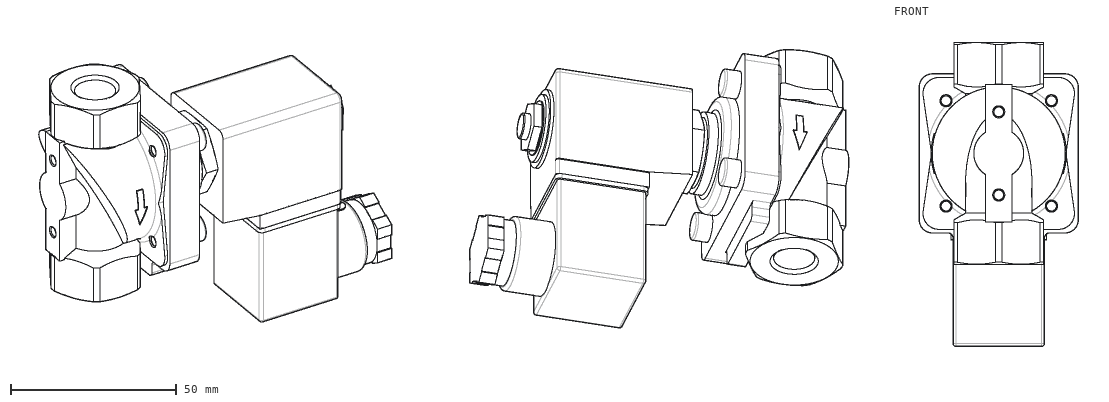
import cadquery as cq
import math


pipe_half_length = 33.5
pipe_hex_flats = 27.0
pipe_hex_radius = 15.0
pipe_face_radius = 13.3
pipe_end_chamfer = 0.7
neck_radius = 10.0
neck_half_length = 18.0
neck_cone_angle = 30
bore_diameter = 12.4
bore_mouth_diameter = 14.6
bore_depth = 12.5

body_radius = 20.0
front_y = -pipe_hex_radius
slant_top_y = -13.9
slant_bottom_y = 5.3
arrow_relief = 0.3
arrow_y = 3.9
arrow_stem_width = 2.2
arrow_head_width = 4.3
arrow_half_length = 6.0

bar_width = 8.0
bar_half_length = 20.7
boss_diameter = 15.0
bar_hole_spacing = 25.0
bar_hole_depth = 4.5
small_hole_diameter = 3.0
small_hole_chamfer = 0.3
drill_tip_angle = 118

flange_size = 48.0
flange_y = 11.6
flange_back_y = 22.2
flange_corner_radius = 4.1
pad_y = 10.6
pad_half_height = 22.9
pad_waist_half_width = 20.3
pad_corner_half_width = 23.5
pad_corner_radius = 4.8
body_fillet = 1.5
screw_spacing = 31.8
screw_head_diameter = 8.5
screw_head_height = 5.0
screw_head_fillet = 0.6
screw_hole_depth = 0.5

tab_half_width = 13.8
tab_back_y = 17.2
tab_bottom_z = -29.7
tab_fillet = 1.5

cover_radius = 18.0
cover_back_y = 26.6
cover_fillet = 1.8
collar_radius = 12.5
collar_front_y = 27.3
collar_back_y = 30.3
collar_foot_radius = 13.7
tube_neck_radius = 10.8
tube_hex_y = 31.3
tube_hex_flats = 22.1
tube_hex_chamfer = 0.3

coil_front_y = 36.1
coil_back_y = 78.6
coil_half_width = 14.9
coil_top_z = 13.7
coil_bottom_z = -19.3
coil_front_bottom_z = -17.9
coil_edge_fillet = 2.2
rear_edge_fillet = 1.0
block_front_y = 49.5
block_half_width = 14.5
block_bottom_z = -24.5
outer_washer_radius = 12.0
inner_washer_radius = 10.4
nut_washer_radius = 8.3
outer_washer_back_y = 79.7
inner_washer_back_y = 80.7
nut_washer_back_y = 81.0
nut_corner_radius = 8.1
nut_back_y = 83.5
stud_diameter = 8.0
stud_back_y = 85.8
stud_chamfer = 0.3

rim_bottom_z = -26.1
rim_corner_fillet = 1.7
plug_inset = 0.7
plug_fillet = 0.9
plug_bottom_z = -58.2
gland_radius = 11.4
gland_z = -46.3
gland_back_y = 89.9
gland_fillet = 1.0
gland_neck_radius = 10.0
cap_front_y = 93.8
cap_back_y = 98.8
cap_corner_radius = 11.8
grip_depth = 0.5
grip_share = 0.4
button_diameter = 5.0
button_y = 85.8
button_rise = 0.1


def box(x_half, y_range, z_range):
    """A box symmetric about X = 0."""
    y_min, y_max = y_range
    z_min, z_max = z_range
    return cq.Workplane("XY").box(
        2 * x_half, y_max - y_min, z_max - z_min, centered=(True, False, False)
    ).translate((0, y_min, z_min))


def plane_at_y(y, x=0, z=0):
    """A sketch plane facing -Y, with X to the right and Z up."""
    return cq.Workplane("XZ", origin=(x, y, z))


def cylinder_y(radius, y_min, y_max, x=0, z=0):
    return plane_at_y(y_min, x, z).circle(radius).extrude(y_min - y_max)


def turned_y(profile):
    """Turn a closed (radius, y) profile about the Y axis."""
    return cq.Workplane("XY").polyline(profile).close().revolve(360, (0, 0), (0, 1))


def turned_z(profile):
    """Turn a closed (radius, z) profile about the Z axis."""
    return cq.Workplane("XZ").polyline(profile).close().revolve(360, (0, 0), (0, 1))


def corner_places(spacing):
    half = spacing / 2
    return [(x, z) for x in (-half, half) for z in (-half, half)]


def chamfered_hole(depth, y, x, z, pointed):
    """A small hole cut into +Y from the face at y, optionally with a drill point."""
    radius = small_hole_diameter / 2
    mouth_radius = radius + small_hole_chamfer
    tip = radius / math.tan(math.radians(drill_tip_angle / 2)) if pointed else 0
    hole = turned_y([
        (0, 0),
        (mouth_radius, 0),
        (radius, small_hole_chamfer),
        (radius, depth),
        (0, depth + tip),
    ])
    approach = cylinder_y(mouth_radius, -body_fillet, 0)
    return hole.union(approach).translate((x, y, z))


def pipe_end():
    """The upper hexagonal pipe end with its neck, reaching down to Z = 0."""
    cone_height = (pipe_hex_radius - neck_radius) * math.tan(math.radians(neck_cone_angle))
    cone_top = neck_half_length + cone_height
    turned = turned_z([
        (0, neck_half_length),
        (neck_radius, neck_half_length),
        (pipe_hex_radius, cone_top),
        (pipe_hex_radius, pipe_half_length - pipe_end_chamfer),
        (pipe_face_radius, pipe_half_length),
        (0, pipe_half_length),
    ])
    hexagon = (
        cq.Workplane("XY")
        .polygon(6, pipe_hex_flats / math.cos(math.pi / 6))
        .extrude(pipe_half_length)
        .rotate((0, 0, 0), (0, 0, 1), 30)
    )
    neck = cq.Workplane("XY").circle(neck_radius).extrude(neck_half_length)
    return turned.intersect(hexagon).union(neck)


def bore():
    """The upper pipe bore with its chamfered mouth."""
    radius = bore_diameter / 2
    mouth_radius = bore_mouth_diameter / 2
    return turned_z([
        (0, pipe_half_length - bore_depth),
        (radius, pipe_half_length - bore_depth),
        (radius, pipe_half_length - (mouth_radius - radius)),
        (mouth_radius, pipe_half_length),
        (0, pipe_half_length),
    ])


def both_ends(upper):
    return upper.union(upper.mirror("XY"))


def slanted_body():
    """The round body, cut off at a slant on its front."""
    cylinder = cylinder_y(body_radius, front_y, flange_y)
    kept = (
        cq.Workplane("YZ")
        .polyline([
            (flange_y, body_radius),
            (slant_top_y, body_radius),
            (slant_bottom_y, -body_radius),
            (flange_y, -body_radius),
        ])
        .close()
        .extrude(body_radius, both=True)
    )
    return cylinder.intersect(kept)


def flow_arrows():
    """Raised arrows pointing down on both sides of the body."""
    stem = arrow_stem_width / 2
    head = arrow_head_width / 2
    outline = [
        (arrow_y - stem, arrow_half_length),
        (arrow_y - stem, 0),
        (arrow_y - head, 0),
        (arrow_y, -arrow_half_length),
        (arrow_y + head, 0),
        (arrow_y + stem, 0),
        (arrow_y + stem, arrow_half_length),
    ]
    reach = body_radius + arrow_relief
    prism = cq.Workplane("YZ").polyline(outline).close().extrude(reach, both=True)
    return prism.intersect(cylinder_y(reach, front_y, flange_y))


def mounting_bar():
    bar = box(bar_width / 2, (front_y, 0), (-bar_half_length, bar_half_length))
    return bar.union(cylinder_y(boss_diameter / 2, front_y, 0))


def pad_outline(y):
    return plane_at_y(y).polyline([
        (-pad_corner_half_width, pad_half_height),
        (pad_corner_half_width, pad_half_height),
        (pad_waist_half_width, 0),
        (pad_corner_half_width, -pad_half_height),
        (-pad_corner_half_width, -pad_half_height),
        (-pad_waist_half_width, 0),
    ]).close()


def flange():
    """The square flange, its waisted pad and the fillet between pad and body."""
    half = flange_size / 2
    plate = box(half, (flange_y, flange_back_y), (-half, half)).edges("|Y").fillet(flange_corner_radius)
    pad = pad_outline(pad_y).extrude(pad_y - flange_y)
    pad = pad.edges("|Y").edges(">Z or <Z").fillet(pad_corner_radius)
    inner = body_radius - body_fillet
    sweep = (
        cq.Workplane("XY")
        .moveTo(inner, pad_y)
        .lineTo(body_radius + body_fillet, pad_y)
        .radiusArc((body_radius, pad_y - body_fillet), -body_fillet)
        .lineTo(inner, pad_y - body_fillet)
        .close()
        .revolve(360, (0, 0), (0, 1))
    )
    fillet_ring = sweep.intersect(pad_outline(pad_y - body_fillet).extrude(-body_fillet))
    return plate.union(pad).union(fillet_ring)


def screw_head(x, z):
    head_back_y = flange_back_y + screw_head_height
    head = cylinder_y(screw_head_diameter / 2, flange_back_y, head_back_y, x, z)
    return head.faces(">Y").edges().fillet(screw_head_fillet)


def locating_tab():
    """A tab below the flange, blended into it and rounded at its lower corners."""
    top_z = -flange_size / 2
    depth = flange_y - tab_back_y
    outline = (
        plane_at_y(flange_y)
        .moveTo(-tab_half_width - tab_fillet, top_z)
        .radiusArc((-tab_half_width, top_z - tab_fillet), tab_fillet)
        .lineTo(-tab_half_width, tab_bottom_z + tab_fillet)
        .radiusArc((-tab_half_width + tab_fillet, tab_bottom_z), -tab_fillet)
        .lineTo(tab_half_width - tab_fillet, tab_bottom_z)
        .radiusArc((tab_half_width, tab_bottom_z + tab_fillet), -tab_fillet)
        .lineTo(tab_half_width, top_z - tab_fillet)
        .radiusArc((tab_half_width + tab_fillet, top_z), tab_fillet)
        .close()
    )
    return outline.extrude(depth)


def armature_tube():
    """The cover behind the flange with the collar and hexagon that carry the coil."""
    cover = cylinder_y(cover_radius, flange_back_y, cover_back_y).faces(">Y").edges().fillet(cover_fillet)
    collar = turned_y([
        (0, flange_back_y),
        (collar_foot_radius, flange_back_y),
        (collar_foot_radius, cover_back_y),
        (collar_radius, collar_front_y),
        (collar_radius, collar_back_y),
        (0, collar_back_y),
    ])
    neck = cylinder_y(tube_neck_radius, flange_back_y, coil_front_y)
    corner_radius = tube_hex_flats / 2 / math.cos(math.pi / 6)
    hexagon = plane_at_y(tube_hex_y).polygon(6, 2 * corner_radius).extrude(tube_hex_y - coil_front_y)
    turned = cylinder_y(corner_radius, tube_hex_y, coil_front_y).edges().chamfer(
        tube_hex_chamfer, corner_radius - tube_hex_flats / 2 + tube_hex_chamfer
    )
    return cover.union(collar).union(neck).union(hexagon.intersect(turned))


def make_valve():
    valve = (
        both_ends(pipe_end())
        .union(slanted_body())
        .union(flow_arrows())
        .union(mounting_bar())
        .union(flange())
        .union(locating_tab())
        .union(armature_tube())
    )
    valve = valve.cut(both_ends(bore()))
    for x, z in corner_places(screw_spacing):
        valve = valve.union(screw_head(x, z))
        valve = valve.cut(chamfered_hole(screw_hole_depth, pad_y, x, z, pointed=False))
    for z in (-bar_hole_spacing / 2, bar_hole_spacing / 2):
        valve = valve.cut(chamfered_hole(bar_hole_depth, front_y, 0, z, pointed=True))
    return valve


def make_coil():
    housing = (
        cq.Workplane("YZ")
        .polyline([
            (coil_front_y, coil_top_z),
            (coil_back_y, coil_top_z),
            (coil_back_y, coil_bottom_z),
            (block_front_y, coil_bottom_z),
            (coil_front_y, coil_front_bottom_z),
        ])
        .close()
        .extrude(coil_half_width, both=True)
    )
    housing = housing.faces(">Z").edges("|Y").fillet(coil_edge_fillet)
    housing = housing.faces(">Y").edges("not <Z").fillet(rear_edge_fillet)
    block = box(block_half_width, (block_front_y, coil_back_y), (block_bottom_z, coil_bottom_z))
    block = block.faces(">Y").edges("|Z").fillet(rear_edge_fillet)
    nut = (
        plane_at_y(coil_back_y)
        .polygon(6, 2 * nut_corner_radius)
        .extrude(coil_back_y - nut_back_y)
        .rotate((0, 0, 0), (0, 1, 0), 30)
    )
    stud = cylinder_y(stud_diameter / 2, coil_back_y, stud_back_y).faces(">Y").chamfer(stud_chamfer)
    return (
        housing.union(block)
        .union(cylinder_y(outer_washer_radius, coil_back_y, outer_washer_back_y))
        .union(cylinder_y(inner_washer_radius, coil_back_y, inner_washer_back_y))
        .union(cylinder_y(nut_washer_radius, coil_back_y, nut_washer_back_y))
        .union(nut)
        .union(stud)
    )


def gland_cap():
    """The hexagonal cap of the cable gland with a shallow grip recess on each face."""
    length = cap_back_y - cap_front_y
    cap = (
        plane_at_y(cap_front_y)
        .polygon(6, 2 * cap_corner_radius)
        .extrude(-length)
        .rotate((0, 0, 0), (0, 1, 0), 30)
    )
    face_distance = cap_corner_radius * math.cos(math.pi / 6)
    grip_width = grip_share * cap_corner_radius
    for i in range(6):
        grip = (
            cq.Workplane("XY")
            .box(2 * grip_depth, length, grip_width, centered=(True, False, True))
            .translate((face_distance, cap_front_y, 0))
            .rotate((0, 0, 0), (0, 1, 0), 60 * i)
        )
        cap = cap.cut(grip)
    return cap.translate((0, 0, gland_z))


def make_plug():
    rim = box(block_half_width, (block_front_y, coil_back_y), (rim_bottom_z, block_bottom_z))
    rim = rim.edges("|Z").fillet(rim_corner_fillet)
    housing = box(
        block_half_width - plug_inset,
        (block_front_y + plug_inset, coil_back_y - plug_inset),
        (plug_bottom_z, block_bottom_z),
    )
    housing = housing.edges("|Z or <Z").fillet(plug_fillet)
    gland_start = (block_front_y + coil_back_y) / 2
    gland = cylinder_y(gland_radius, gland_start, gland_back_y, z=gland_z)
    gland = gland.faces(">Y").edges().fillet(gland_fillet)
    gland_neck = cylinder_y(gland_neck_radius, gland_back_y, cap_front_y, z=gland_z)
    button = (
        cq.Workplane("XY", origin=(0, button_y, gland_z))
        .circle(button_diameter / 2)
        .extrude(gland_radius + button_rise)
    )
    return rim.union(housing).union(gland).union(button).union(gland_neck).union(gland_cap())


valve = make_valve()
coil = make_coil()
plug = make_plug()

result = cq.Compound.makeCompound([
    valve.solids().val(),
    coil.solids().val(),
    plug.solids().val(),
])